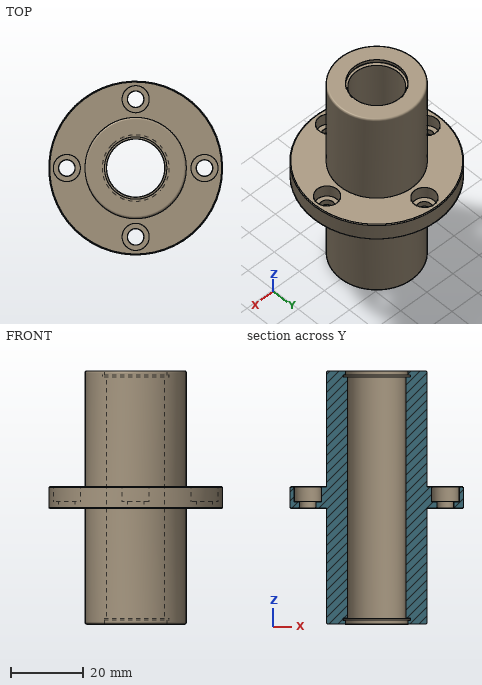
import cadquery as cq

length = 70
sleeve_diameter = 28
bore_diameter = 16.0
sleeve_rounding = 0.6

mouth_diameter = 17.2
groove_diameter = 18.4
lip_depth = 1.2
groove_width = 0.5

flange_diameter = 48.0
flange_thickness = 6.0
flange_chamfer = 0.3

hole_count = 4
hole_circle_diameter = 38.0
hole_diameter = 4.5
counterbore_diameter = 7.5
counterbore_depth = 4.1


def centred_cylinder(diameter, height):
    """Cylinder on the Z axis, centred on the origin."""
    return cq.Workplane("XY").circle(diameter / 2).extrude(height).translate((0, 0, -height / 2))


def make_body():
    """Sleeve with rounded ends and flange with chamfered rims."""
    sleeve = centred_cylinder(sleeve_diameter, length).edges("%CIRCLE").fillet(sleeve_rounding)
    flange = centred_cylinder(flange_diameter, flange_thickness).edges("%CIRCLE").chamfer(flange_chamfer)
    return sleeve.union(flange)


def cut_bore(body):
    """Through bore with a lipped ring groove at each end."""
    lip_height = length / 2 - lip_depth
    groove_floor = lip_height - groove_width
    mouth = cq.Workplane("XY", origin=(0, 0, lip_height)).circle(mouth_diameter / 2).extrude(lip_depth)
    groove = cq.Workplane("XY", origin=(0, 0, groove_floor)).circle(groove_diameter / 2).extrude(groove_width)
    top_recess = mouth.union(groove)
    bottom_recess = top_recess.mirror("XY")
    return body.cut(centred_cylinder(bore_diameter, length)).cut(top_recess).cut(bottom_recess)


def cut_mounting_holes(body):
    """Ring of holes through the flange, counterbored from above."""
    return (
        body.copyWorkplane(cq.Workplane("XY", origin=(0, 0, flange_thickness / 2)))
        .polarArray(hole_circle_diameter / 2, 0, 360, hole_count)
        .cboreHole(hole_diameter, counterbore_diameter, counterbore_depth, flange_thickness)
    )


result = cut_mounting_holes(cut_bore(make_body()))